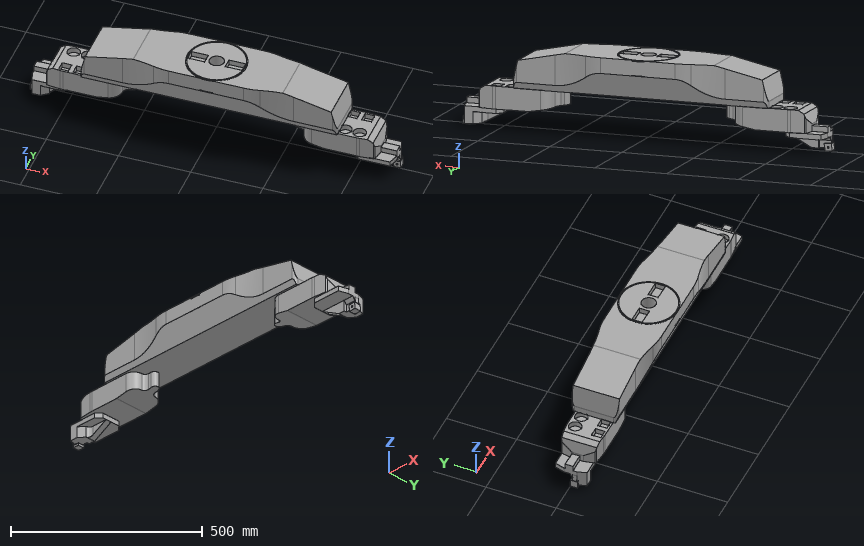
import cadquery as cq
import math


BRIDGE_HEIGHT = 105.0
BRIDGE_HALF_WIDTH = 82.1
END_HALF_WIDTH = 66.0
BASE_HALF_WIDTH = 60.0
SIDE_SLOPE_TOP = 63.0
BRIDGE_HALF_LENGTH = 355.0
END_CORNER_RADIUS = 11.0
FLAT_TOP_HALF = 207.0
SHOULDER_X = 341.0
SHOULDER_Z = 76.0
END_FOOT_Z = 18.0
WIDE_HALF = 104.0
WAIST_X = 147.0
NARROW_X = 237.0

DISC_DIAMETER = 162.0
DISC_THICKNESS = 41.0
DISC_CHAMFER = 3.0
DISC_HOLE_DIAMETER = 40.0
KEYWAY_START = 29.0
KEYWAY_END = 75.0
KEYWAY_WIDTH = 29.0
KEYWAY_DEPTH = 15.0

ARM_HALF_WIDTH = 54.0
ARM_DEPTH = 61.0
ARM_FACE_X = 461.0
ARM_FACE_HALF = 16.0
ARM_CORNER_X = 455.0
ARM_CORNER_HALF = 47.0
ARM_CORNER_BEVEL = 3.0
ARM_TAPER_X = 410.0
ARM_TAPER_BLEND = 4.0
ARM_TOP_EDGE_X = 436.0
ARM_BROW_X = 451.0
ARM_BROW_Z = -9.0
ARM_CHIN_Z = -41.0
SHOULDER_RADIUS = 30.0
SHOULDER_START_X = 282.0
TONGUE_RADIUS = 12.0
TONGUE_END_X = 217.0
TONGUE_DEPTH = 44.0
BELLY_X = 315.0
POCKET_X = 407.0
POCKET_PITCH = 40.0
POCKET_DEPTH = 15.0
ROUND_POCKET_DIAMETER = 35.0
ROUND_POCKET_Y = 31.0
SQUARE_POCKET_SIDE = 27.0
SQUARE_POCKET_Y = -35.0

PLATE_THICKNESS = 14.0
PLATE_NEAR_Y = -43.0
PLATE_FAR_Y = 48.0
PLATE_CORNER_X = 497.0
PLATE_INNER_X = 393.0
PLATE_CHAMFER = 16.0
NOSE_X = 505.0
NOSE_FAR_Y = 19.0
NOSE_NEAR_Y = -17.0
TAB_FAR_Y = 16.0
TAB_NEAR_Y = -6.0
TAB_HEIGHT = 15.0
JAW_BOTTOM_Z = -108.0
JAW_BACK_X = 473.0
JAW_HEEL_X = 454.0
JAW_HEEL_Y = -28.0
WEB_NEAR_Y = -15.0
WEB_FAR_Y = 3.0
KEEL_X = 454.0
SEAT_FACE_Y = -5.0
SEAT_CHAMFER_Z = -87.0
NOSE_TIP_X = 509.0

INSERT_SIDE = 20.0
INSERT_THICKNESS = 20.0
INSERT_TILT = 4.0
INSERT_HOLE_DIAMETER = 4.7
TIP_X = 510.0
TIP_Z = -115.0

PLATE_BOTTOM_Z = -ARM_DEPTH - PLATE_THICKNESS


def plan_prism(outline, bottom, top):
    """Extrude an XY outline between two heights."""
    return outline.extrude(top - bottom).translate((0, 0, bottom))


def side_prism(points, near_y, far_y):
    """Extrude a closed XZ polygon from near_y to far_y."""
    return cq.Workplane("XZ").polyline(points).close().extrude(near_y - far_y).translate((0, near_y, 0))


def other_end(body):
    return body.rotate((0, 0, 0), (0, 0, 1), 180)


def bridge_plan():
    """Outline with tangent S-curves between the wide middle and the narrow ends."""
    waist_share = (WAIST_X - WIDE_HALF) / (NARROW_X - WIDE_HALF)
    waist_y = BRIDGE_HALF_WIDTH - waist_share * (BRIDGE_HALF_WIDTH - END_HALF_WIDTH)
    quarter = (
        cq.Workplane("XY")
        .moveTo(0, 0)
        .lineTo(0, BRIDGE_HALF_WIDTH)
        .lineTo(WIDE_HALF, BRIDGE_HALF_WIDTH)
        .tangentArcPoint((WAIST_X, waist_y), relative=False)
        .tangentArcPoint((NARROW_X, END_HALF_WIDTH), relative=False)
        .lineTo(BRIDGE_HALF_LENGTH - END_CORNER_RADIUS, END_HALF_WIDTH)
        .tangentArcPoint((BRIDGE_HALF_LENGTH, END_HALF_WIDTH - END_CORNER_RADIUS), relative=False)
        .lineTo(BRIDGE_HALF_LENGTH, 0)
        .close()
        .extrude(BRIDGE_HEIGHT)
    )
    half = quarter.union(quarter.mirror("XZ"))
    return half.union(half.mirror("YZ")).clean()


def make_bridge():
    profile = [
        (-BRIDGE_HALF_LENGTH, 0),
        (-BRIDGE_HALF_LENGTH, END_FOOT_Z),
        (-SHOULDER_X, SHOULDER_Z),
        (-FLAT_TOP_HALF, BRIDGE_HEIGHT),
        (FLAT_TOP_HALF, BRIDGE_HEIGHT),
        (SHOULDER_X, SHOULDER_Z),
        (BRIDGE_HALF_LENGTH, END_FOOT_Z),
        (BRIDGE_HALF_LENGTH, 0),
    ]
    cross_section = [
        (-BASE_HALF_WIDTH, 0),
        (-BRIDGE_HALF_WIDTH, SIDE_SLOPE_TOP),
        (-BRIDGE_HALF_WIDTH, BRIDGE_HEIGHT),
        (BRIDGE_HALF_WIDTH, BRIDGE_HEIGHT),
        (BRIDGE_HALF_WIDTH, SIDE_SLOPE_TOP),
        (BASE_HALF_WIDTH, 0),
    ]
    section_bar = cq.Workplane("YZ").polyline(cross_section).close().extrude(BRIDGE_HALF_LENGTH, both=True)
    recess = (
        cq.Workplane("XY", origin=(0, 0, BRIDGE_HEIGHT - DISC_THICKNESS))
        .circle(DISC_DIAMETER / 2)
        .extrude(DISC_THICKNESS)
    )
    body = bridge_plan().intersect(side_prism(profile, -BRIDGE_HALF_WIDTH, BRIDGE_HALF_WIDTH))
    return body.intersect(section_bar).cut(recess)


def make_disc():
    keyway_length = KEYWAY_END - KEYWAY_START
    keyway_centre = (KEYWAY_END + KEYWAY_START) / 2
    return (
        cq.Workplane("XY", origin=(0, 0, BRIDGE_HEIGHT - DISC_THICKNESS))
        .circle(DISC_DIAMETER / 2)
        .extrude(DISC_THICKNESS)
        .faces(">Z")
        .chamfer(DISC_CHAMFER)
        .faces(">Z")
        .workplane()
        .hole(DISC_HOLE_DIAMETER)
        .faces(">Z")
        .workplane()
        .pushPoints([(-keyway_centre, 0), (keyway_centre, 0)])
        .rect(keyway_length, KEYWAY_WIDTH)
        .cutBlind(-KEYWAY_DEPTH)
    )


def arm_half_plan():
    """Half of the arm's outline on the +Y side, from its outer face to the tongue tip."""
    neck_x = SHOULDER_START_X - SHOULDER_RADIUS
    neck_y = ARM_HALF_WIDTH - SHOULDER_RADIUS
    hollow_radius = neck_y - TONGUE_RADIUS
    bevel_end_x = ARM_CORNER_X - ARM_CORNER_BEVEL
    bevel_end_y = ARM_CORNER_HALF + ARM_CORNER_BEVEL
    taper_slope = (ARM_HALF_WIDTH - bevel_end_y) / (bevel_end_x - ARM_TAPER_X)
    return (
        cq.Workplane("XY")
        .moveTo(-ARM_FACE_X, 0)
        .lineTo(-ARM_FACE_X, ARM_FACE_HALF)
        .lineTo(-ARM_CORNER_X, ARM_CORNER_HALF)
        .lineTo(-bevel_end_x, bevel_end_y)
        .lineTo(-ARM_TAPER_X - ARM_TAPER_BLEND, ARM_HALF_WIDTH - ARM_TAPER_BLEND * taper_slope)
        .tangentArcPoint((-ARM_TAPER_X + ARM_TAPER_BLEND, ARM_HALF_WIDTH), relative=False)
        .lineTo(-SHOULDER_START_X, ARM_HALF_WIDTH)
        .tangentArcPoint((-neck_x, neck_y), relative=False)
        .radiusArc((-neck_x + hollow_radius, TONGUE_RADIUS), -hollow_radius)
        .lineTo(-TONGUE_END_X - TONGUE_RADIUS, TONGUE_RADIUS)
        .tangentArcPoint((-TONGUE_END_X, 0), relative=False)
        .close()
    )


def arm_profile():
    """Side shape of the arm with its bevelled, leaning outer end and rising underside."""
    return (
        cq.Workplane("XZ", origin=(0, ARM_HALF_WIDTH, 0))
        .moveTo(-TONGUE_END_X, 0)
        .lineTo(-ARM_TOP_EDGE_X, 0)
        .lineTo(-ARM_BROW_X, ARM_BROW_Z)
        .lineTo(-ARM_FACE_X, ARM_CHIN_Z)
        .lineTo(-ARM_FACE_X, -ARM_DEPTH)
        .lineTo(-BELLY_X, -ARM_DEPTH)
        .lineTo(-TONGUE_END_X, -TONGUE_DEPTH)
        .close()
        .extrude(2 * ARM_HALF_WIDTH)
    )


def make_arm():
    half = plan_prism(arm_half_plan(), -ARM_DEPTH, 0)
    body = half.union(half.mirror("XZ")).clean()
    body = body.intersect(arm_profile())
    for pocket_x in (-POCKET_X, -POCKET_X + POCKET_PITCH):
        round_spot = cq.Workplane("XY").center(pocket_x, ROUND_POCKET_Y)
        square_spot = cq.Workplane("XY").center(pocket_x, SQUARE_POCKET_Y)
        body = body.cut(round_spot.circle(ROUND_POCKET_DIAMETER / 2).extrude(-POCKET_DEPTH))
        body = body.cut(square_spot.rect(SQUARE_POCKET_SIDE, SQUARE_POCKET_SIDE).extrude(-POCKET_DEPTH))
    return body


def insert_block_and_hole():
    """Tilted square block and its cross hole, the block reaching down to TIP_Z and out to TIP_X."""
    tilt = math.radians(INSERT_TILT)
    reach = INSERT_SIDE / 2 * (math.cos(tilt) + math.sin(tilt))
    centre = (-TIP_X + reach, -INSERT_THICKNESS / 2, TIP_Z + reach)
    block = cq.Workplane("XY").box(INSERT_SIDE, INSERT_THICKNESS, INSERT_SIDE)
    hole = cq.Workplane("XZ").circle(INSERT_HOLE_DIAMETER / 2).extrude(INSERT_THICKNESS, both=True)
    return [shape.rotate((0, 0, 0), (0, 1, 0), INSERT_TILT).translate(centre) for shape in (block, hole)]


def make_insert():
    block, hole = insert_block_and_hole()
    return block.cut(hole)


def cartridge_plate():
    outline = cq.Workplane("XY").polyline([
        (-NOSE_X, NOSE_NEAR_Y),
        (-NOSE_X, NOSE_FAR_Y),
        (-PLATE_CORNER_X, PLATE_FAR_Y),
        (-PLATE_INNER_X - PLATE_CHAMFER, PLATE_FAR_Y),
        (-PLATE_INNER_X, PLATE_FAR_Y - PLATE_CHAMFER),
        (-PLATE_INNER_X, PLATE_NEAR_Y + PLATE_CHAMFER),
        (-PLATE_INNER_X - PLATE_CHAMFER, PLATE_NEAR_Y),
        (-PLATE_CORNER_X, PLATE_NEAR_Y),
    ]).close()
    return plan_prism(outline, PLATE_BOTTOM_Z, -ARM_DEPTH)


def cartridge_tab():
    length = NOSE_X - ARM_FACE_X
    width = TAB_FAR_Y - TAB_NEAR_Y
    return cq.Workplane("XY").box(length, width, TAB_HEIGHT, centered=False).translate(
        (-NOSE_X, TAB_NEAR_Y, -ARM_DEPTH)
    )


def cartridge_jaw():
    """Jaw and web under the plate, with a rising underside."""
    heel_radius = WEB_NEAR_Y - JAW_HEEL_Y
    outline = (
        cq.Workplane("XY")
        .moveTo(-PLATE_CORNER_X, PLATE_NEAR_Y)
        .lineTo(-NOSE_X, NOSE_NEAR_Y)
        .lineTo(-NOSE_X, SEAT_FACE_Y)
        .lineTo(-JAW_BACK_X, SEAT_FACE_Y)
        .lineTo(-JAW_BACK_X, WEB_FAR_Y)
        .lineTo(-PLATE_INNER_X, WEB_FAR_Y)
        .lineTo(-PLATE_INNER_X, WEB_NEAR_Y)
        .lineTo(-JAW_HEEL_X + heel_radius, WEB_NEAR_Y)
        .radiusArc((-JAW_HEEL_X, JAW_HEEL_Y), -heel_radius)
        .lineTo(-JAW_BACK_X, PLATE_NEAR_Y)
        .close()
    )
    underside = [
        (-KEEL_X, JAW_BOTTOM_Z),
        (-PLATE_INNER_X, PLATE_BOTTOM_Z),
        (-PLATE_INNER_X, JAW_BOTTOM_Z),
    ]
    jaw = plan_prism(outline, JAW_BOTTOM_Z, PLATE_BOTTOM_Z)
    return jaw.cut(side_prism(underside, PLATE_NEAR_Y, WEB_FAR_Y))


def insert_seat():
    """Leaning nose behind the insert and the sloping face above it."""
    lean = [
        (-NOSE_X, PLATE_BOTTOM_Z),
        (-NOSE_TIP_X, JAW_BOTTOM_Z),
        (-NOSE_X, JAW_BOTTOM_Z),
    ]
    slope = (
        cq.Workplane("YZ", origin=(-NOSE_X, 0, 0))
        .polyline([
            (SEAT_FACE_Y, PLATE_BOTTOM_Z),
            (WEB_FAR_Y, PLATE_BOTTOM_Z),
            (SEAT_FACE_Y, SEAT_CHAMFER_Z),
        ])
        .close()
        .extrude(NOSE_X - JAW_BACK_X)
    )
    return side_prism(lean, NOSE_NEAR_Y, SEAT_FACE_Y).union(slope)


def make_cartridge():
    body = cartridge_plate().union(cartridge_tab()).union(cartridge_jaw()).union(insert_seat())
    block, _ = insert_block_and_hole()
    return body.cut(block).clean()


bridge = make_bridge()
disc = make_disc()
arm = make_arm()
cartridge = make_cartridge()
insert = make_insert()

solids = [bridge.solids().val(), disc.solids().val()]
for body in (arm, cartridge, insert):
    solids += [body.solids().val(), other_end(body).solids().val()]

result = cq.Compound.makeCompound(solids)